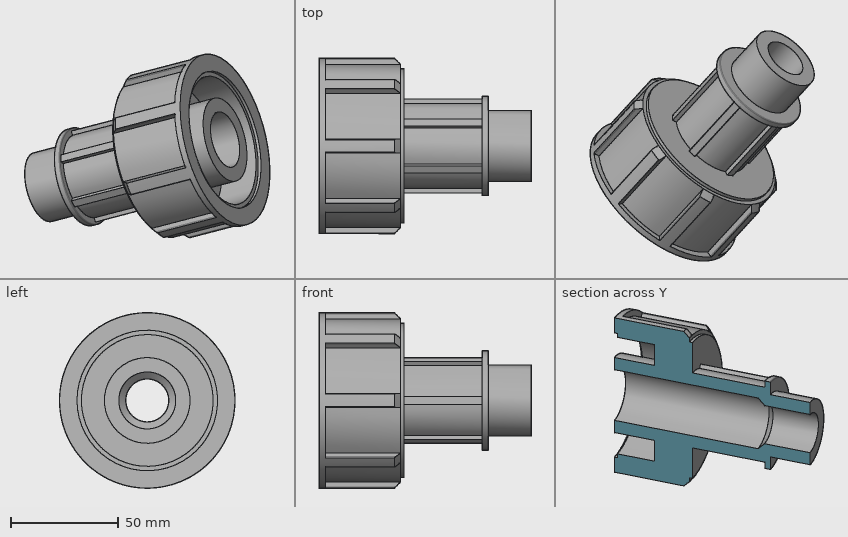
import cadquery as cq

COLLAR_END = 3.0
NUT_END = 38.0
SHOULDER_END = 39.6
FLANGE_START = 76.0
FLANGE_END = 79.0
TOTAL_LENGTH = 99.0

NUT_RADIUS = 82.0 / 2
NUT_BODY_RADIUS = 38.1
SHOULDER_RADIUS = 72.16 / 2
GRIP_COUNT = 8
GRIP_WIDTH = 6.4
GRIP_EDGE_FILLET = 0.65
GRIP_END_CHAMFER = NUT_RADIUS - NUT_BODY_RADIUS

MOUTH_RADIUS = 65.6 / 2
MOUTH_DEPTH = 1.5
CAVITY_RADIUS = 61.5 / 2
CAVITY_DEPTH = 20.0

SLEEVE_RADIUS = 40.0 / 2
SLEEVE_RIB_COUNT = 6
SLEEVE_RIB_RADIUS = 22.0
SLEEVE_RIB_WIDTH = 3.7
FLANGE_RADIUS = 46.55 / 2
FLANGE_EDGE_FILLET = 0.3
SPIGOT_RADIUS = 33.25 / 2
BORE_INLET_RADIUS = 26.6 / 2
BORE_OUTLET_RADIUS = 19.95 / 2
BORE_CONE_LENGTH = BORE_INLET_RADIUS - BORE_OUTLET_RADIUS


def cylinder(radius, start, end):
    """Cylinder along the X axis between two axial stations."""
    return cq.Workplane("YZ", origin=(start, 0, 0)).circle(radius).extrude(end - start)


def rib(width, tip_radius, start, end):
    """Axial bar pointing to +Y, from the axis out to a flat tip."""
    section = cq.Workplane("YZ", origin=(start, 0, 0)).rect(tip_radius, width)
    return section.extrude(end - start).translate((0, tip_radius / 2, 0))


def around_axis(shape, count):
    """Copies of a shape spaced evenly about the X axis."""
    pattern = shape
    for index in range(1, count):
        pattern = pattern.union(shape.rotate((0, 0, 0), (1, 0, 0), index * 360.0 / count))
    return pattern


def make_nut():
    grip = rib(GRIP_WIDTH, NUT_RADIUS, COLLAR_END, NUT_END)
    grip = grip.faces(">Y").edges("|X").fillet(GRIP_EDGE_FILLET)
    grips = around_axis(grip, GRIP_COUNT)
    envelope = cylinder(NUT_RADIUS, 0, NUT_END).faces(">X").chamfer(GRIP_END_CHAMFER)
    collar = cylinder(NUT_RADIUS, 0, COLLAR_END)
    body = cylinder(NUT_BODY_RADIUS, 0, NUT_END)
    shoulder = cylinder(SHOULDER_RADIUS, 0, SHOULDER_END)
    return body.union(grips.intersect(envelope)).union(collar).union(shoulder)


def make_cavity():
    mouth = cylinder(MOUTH_RADIUS, 0, MOUTH_DEPTH)
    hub = cylinder(SLEEVE_RADIUS, 0, CAVITY_DEPTH)
    return cylinder(CAVITY_RADIUS, 0, CAVITY_DEPTH).union(mouth).cut(hub)


def make_tailpiece():
    sleeve = cylinder(SLEEVE_RADIUS, SHOULDER_END, FLANGE_START)
    sleeve_rib = rib(SLEEVE_RIB_WIDTH, SLEEVE_RIB_RADIUS, SHOULDER_END, FLANGE_START)
    flange = cylinder(FLANGE_RADIUS, FLANGE_START, FLANGE_END).edges().fillet(FLANGE_EDGE_FILLET)
    spigot = cylinder(SPIGOT_RADIUS, FLANGE_START, TOTAL_LENGTH)
    return sleeve.union(around_axis(sleeve_rib, SLEEVE_RIB_COUNT)).union(flange).union(spigot)


def make_bore():
    """Wide bore through the sleeve, narrowing by a 45 degree cone to the bore of the spigot."""
    profile = [
        (0, 0),
        (0, BORE_INLET_RADIUS),
        (FLANGE_START - BORE_CONE_LENGTH, BORE_INLET_RADIUS),
        (FLANGE_START, BORE_OUTLET_RADIUS),
        (TOTAL_LENGTH, BORE_OUTLET_RADIUS),
        (TOTAL_LENGTH, 0),
    ]
    return cq.Workplane("XY").polyline(profile).close().revolve(360, (0, 0, 0), (1, 0, 0))


result = make_nut().cut(make_cavity()).union(make_tailpiece()).cut(make_bore())